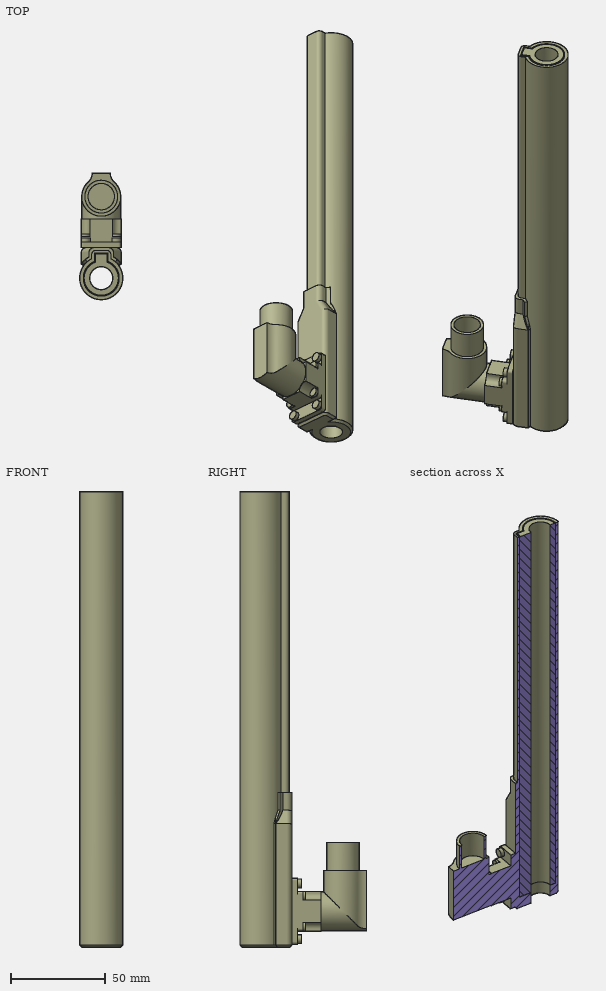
import cadquery as cq
import math

LENGTH = 242.0
DEPTH = 67.3
EDGE_CHAMFER = 1.2

SHELL_RADIUS = 23.0 / 2
SHELL_WALL = 2.0
RAIL_HALF_WIDTH = 5.0
RAIL_TOP = 14.8
RAIL_WALL = 1.5
RAIL_FILLET = 2.2
FLOOR = 7.3
BORE_RADIUS = 6.0

CORE_RADIUS = SHELL_RADIUS - SHELL_WALL
KEY_HALF_WIDTH = RAIL_HALF_WIDTH - RAIL_WALL
KEY_TOP = RAIL_TOP - RAIL_WALL
CORE_CHAMFER = 0.5

BOX_HALF_WIDTH = 10.6
BOX_HEIGHT = 65.8
NECK_START = 72.8
NECK_TOP = 82.3
NECK_HALF_WIDTH = 6.5
BOX_BACK = 16.2
BOX_FILLET = 2.7
SADDLE_RADIUS = 13.0
SADDLE_ANGLE = 55.0
SADDLE_NECK_ANGLE = 40.5

CONNECTOR_Z = 19.0
FLANGE_FACE = 19.0
FLANGE_HALF_HEIGHT = 17.7
FLANGE_FILLET = 1.5
SCREW_RADIUS = 2.5
SCREW_X = BOX_HALF_WIDTH - SCREW_RADIUS
SCREW_OFFSET_Z = 14.8
SCREW_HEAD = 2.2
BLOCK_HALF_SIZE = BOX_HALF_WIDTH
BLOCK_END = 31.5
NOTCH_START = 22.0
NOTCH_SIZE = 4.5
NOTCH_FILLET = 3.5
NOTCH_SCREW_HEAD = 1.5
NOTCH_SCREW_OFFSET = BLOCK_HALF_SIZE - SCREW_RADIUS

ELBOW_Y = 43.3
ELBOW_RADIUS = 10.5
ELBOW_TOP = 41.0
LUG_END = DEPTH - SHELL_RADIUS
LUG_HALF_WIDTH = 4.8
LUG_WAIST_HALF_WIDTH = 5.3
LUG_ROOT_HALF_WIDTH = 7.0
NIPPLE_RADIUS = 8.7
NIPPLE_BORE_RADIUS = 7.0
NIPPLE_TOP = 55.7


def keyed_bar(radius, half_width, top, bottom_z, top_z, fillet=0.0):
    """Round bar along Z with a rectangular rail on its +Y side."""
    height = top_z - bottom_z
    rail = (
        cq.Workplane("XY", origin=(0, top / 2, bottom_z))
        .rect(2 * half_width, top)
        .extrude(height)
    )
    if fillet:
        rail = rail.edges("|Z and >Y").fillet(fillet)
    return cq.Workplane("XY", origin=(0, 0, bottom_z)).circle(radius).extrude(height).union(rail)


def core_bar():
    """Keyed bar that the core and its cavity share."""
    return keyed_bar(CORE_RADIUS, KEY_HALF_WIDTH, KEY_TOP, FLOOR, LENGTH)


def cylinder_along_y(x, z, radius, start, end):
    """Cylinder along Y between two Y positions."""
    return cq.Workplane("XZ", origin=(x, start, z)).circle(radius).extrude(start - end)


def box_along_y(half_width, half_height, start, end):
    """Box around the connector axis between two Y positions."""
    return (
        cq.Workplane("XZ", origin=(0, start, CONNECTOR_Z))
        .rect(2 * half_width, 2 * half_height)
        .extrude(start - end)
    )


def saddle_wedge(bottom_angle, top_angle, bottom_z, top_z):
    """Wedge from the tube axis toward +Y, its half angle changing along Z."""
    def corners(angle):
        side = BOX_BACK * math.tan(math.radians(angle))
        return [(0, 0), (side, BOX_BACK), (-side, BOX_BACK)]

    return (
        cq.Workplane("XY", origin=(0, 0, bottom_z))
        .polyline(corners(bottom_angle)).close()
        .workplane(offset=top_z - bottom_z)
        .polyline(corners(top_angle)).close()
        .loft(ruled=True)
    )


def make_saddle():
    """Sector around the shell that carries the terminal box."""
    wedge = saddle_wedge(SADDLE_ANGLE, SADDLE_ANGLE, EDGE_CHAMFER, BOX_HEIGHT)
    wedge = wedge.union(saddle_wedge(SADDLE_ANGLE, SADDLE_NECK_ANGLE, BOX_HEIGHT, NECK_START))
    wedge = wedge.union(saddle_wedge(SADDLE_NECK_ANGLE, SADDLE_NECK_ANGLE, NECK_START, NECK_TOP))
    return cq.Workplane("XY").circle(SADDLE_RADIUS).extrude(NECK_TOP).intersect(wedge)


def make_terminal_box():
    """Box with sloping flanks that narrow to a neck over the rail."""
    box_front = BOX_HALF_WIDTH / math.tan(math.radians(SADDLE_ANGLE))
    outline = [
        (-BOX_HALF_WIDTH, 0),
        (BOX_HALF_WIDTH, 0),
        (BOX_HALF_WIDTH, BOX_HEIGHT),
        (NECK_HALF_WIDTH, NECK_START),
        (NECK_HALF_WIDTH, NECK_TOP),
        (-NECK_HALF_WIDTH, NECK_TOP),
        (-NECK_HALF_WIDTH, NECK_START),
        (-BOX_HALF_WIDTH, BOX_HEIGHT),
    ]
    box = (
        cq.Workplane("XZ", origin=(0, box_front, 0))
        .polyline(outline).close()
        .extrude(box_front - BOX_BACK)
    )
    box = box.faces(">Y").edges("not(<Z or >Z)").fillet(BOX_FILLET)
    return box.faces("<Z").chamfer(EDGE_CHAMFER).union(make_saddle())


def make_plug_block():
    """Flange with four screws, and the block with four corner notches and screws."""
    flange = box_along_y(BOX_HALF_WIDTH, FLANGE_HALF_HEIGHT, BOX_BACK, FLANGE_FACE)
    flange = flange.edges("|Y").fillet(FLANGE_FILLET)
    block = box_along_y(BLOCK_HALF_SIZE, BLOCK_HALF_SIZE, FLANGE_FACE, BLOCK_END)
    block = block.edges("|Y").fillet(FLANGE_FILLET)
    for side in (-1, 1):
        for level in (-1, 1):
            notch = (
                cq.Workplane("XZ", origin=(0, NOTCH_START, CONNECTOR_Z))
                .center(side * BLOCK_HALF_SIZE, level * BLOCK_HALF_SIZE)
                .rect(2 * NOTCH_SIZE, 2 * NOTCH_SIZE)
                .extrude(NOTCH_START - BLOCK_END)
                .edges("|Y").fillet(NOTCH_FILLET)
            )
            block = block.cut(notch)
            block = block.union(cylinder_along_y(
                side * NOTCH_SCREW_OFFSET, CONNECTOR_Z + level * NOTCH_SCREW_OFFSET,
                SCREW_RADIUS, NOTCH_START, NOTCH_START + NOTCH_SCREW_HEAD,
            ))
            flange = flange.union(cylinder_along_y(
                side * SCREW_X, CONNECTOR_Z + level * SCREW_OFFSET_Z,
                SCREW_RADIUS, FLANGE_FACE, FLANGE_FACE + SCREW_HEAD,
            ))
    return flange.union(block)


def elbow_column(bottom_z, top_z):
    """Vertical round column with the lug behind it."""
    height = top_z - bottom_z
    column = cq.Workplane("XY", origin=(0, ELBOW_Y, bottom_z)).circle(ELBOW_RADIUS).extrude(height)
    root_y = ELBOW_Y + math.sqrt(ELBOW_RADIUS ** 2 - LUG_ROOT_HALF_WIDTH ** 2)
    waist = (LUG_WAIST_HALF_WIDTH, (LUG_END + root_y) / 2)
    lug = (
        cq.Workplane("XY", origin=(0, 0, bottom_z))
        .moveTo(0, ELBOW_Y)
        .lineTo(LUG_ROOT_HALF_WIDTH, root_y)
        .threePointArc(waist, (LUG_HALF_WIDTH, LUG_END))
        .lineTo(-LUG_HALF_WIDTH, LUG_END)
        .threePointArc((-waist[0], waist[1]), (-LUG_ROOT_HALF_WIDTH, root_y))
        .close()
        .extrude(height)
    )
    return column.union(lug)


def make_elbow():
    """Mitred elbow with a hollow nipple on top."""
    leg = cylinder_along_y(0, CONNECTOR_Z, ELBOW_RADIUS, BLOCK_END, ELBOW_Y)
    long_leg = cylinder_along_y(0, CONNECTOR_Z, ELBOW_RADIUS, BLOCK_END, LUG_END)
    corner = long_leg.intersect(elbow_column(0, CONNECTOR_Z))
    nipple = (
        cq.Workplane("XY", origin=(0, ELBOW_Y, ELBOW_TOP))
        .circle(NIPPLE_RADIUS)
        .circle(NIPPLE_BORE_RADIUS)
        .extrude(NIPPLE_TOP - ELBOW_TOP)
    )
    return leg.union(corner).union(elbow_column(CONNECTOR_Z, ELBOW_TOP)).union(nipple)


def make_housing():
    """Shell, terminal box and connector, hollowed for the core."""
    housing = keyed_bar(SHELL_RADIUS, RAIL_HALF_WIDTH, RAIL_TOP, 0, LENGTH, RAIL_FILLET)
    housing = housing.faces("<Z").chamfer(EDGE_CHAMFER)
    housing = housing.union(make_terminal_box())
    housing = housing.union(make_plug_block()).union(make_elbow())
    bore = cq.Workplane("XY").circle(BORE_RADIUS).extrude(FLOOR)
    return housing.cut(core_bar()).cut(bore)


def make_core():
    """Keyed tube with a chamfered top edge."""
    core = core_bar().faces(">Z").chamfer(CORE_CHAMFER)
    return core.cut(cq.Workplane("XY").circle(BORE_RADIUS).extrude(LENGTH))


housing = make_housing()
core = make_core()
result = cq.Compound.makeCompound([housing.val(), core.val()])